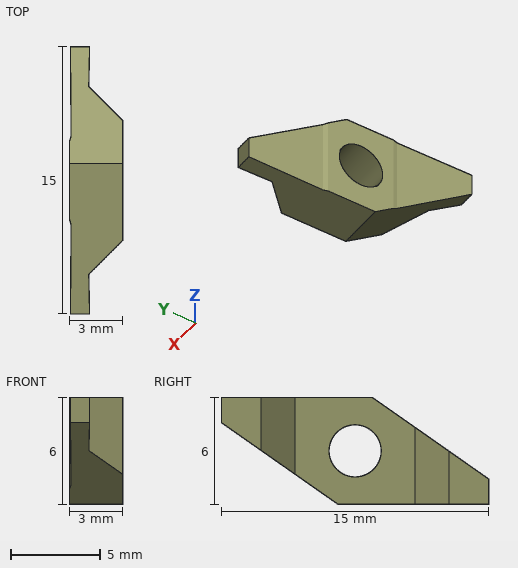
import cadquery as cq
import math

length = 15.0
thickness = 3.0
height = 6.0

tip_angle = 35.0
ridge_offset = 0.96
bore_diameter = 2.91

tip_near = 0.051
tip_far = 1.14
root_near = 0.09
root_far = 1.1
pad_half_length = 2.19
pad_bevel_length = 0.3
shoulder_start = 3.36

half_length = length / 2
half_height = height / 2
shoulder_end = shoulder_start + thickness - root_far
slope_drop = (half_length - ridge_offset) * math.tan(math.radians(tip_angle))
tip_bottom = slope_drop - half_height


def make_side_prism():
    """Extrude the sloped Y-Z outline through the full thickness."""
    outline = [
        (ridge_offset, half_height),
        (-half_length, half_height),
        (-half_length, tip_bottom),
        (-ridge_offset, -half_height),
        (half_length, -half_height),
        (half_length, -tip_bottom),
    ]
    return cq.Workplane("YZ").polyline(outline).close().extrude(thickness)


def make_plan_prism():
    """Extrude the X-Y outline with its central pad, shoulders and blades."""
    half_outline = [
        (0, pad_half_length),
        (root_near, pad_half_length + pad_bevel_length),
        (tip_near, half_length),
        (tip_far, half_length),
        (root_far, shoulder_end),
        (thickness, shoulder_start),
    ]
    mirrored_half = [(x, -y) for x, y in reversed(half_outline)]
    plan = cq.Workplane("XY").workplane(offset=-half_height)
    return plan.polyline(half_outline + mirrored_half).close().extrude(height)


def make_bore():
    """Through hole along X at the centre of the part."""
    return cq.Workplane("YZ").circle(bore_diameter / 2).extrude(thickness)


result = make_side_prism().intersect(make_plan_prism()).cut(make_bore())